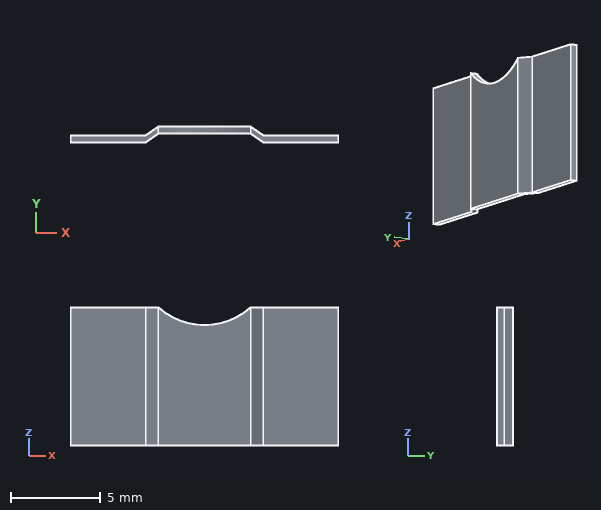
import cadquery as cq

length = 15.0
height = 7.75
depth = 0.9
thickness = 0.4

setback = depth - thickness
tab_bend_x = 3.3
panel_edge_x = 2.58

scallop_depth = 0.99


def make_middle_panel():
    """Flat panel with the scalloped top edge, set back along +Y."""
    return (
        cq.Workplane("XZ", origin=(0, setback, 0))
        .moveTo(-panel_edge_x, 0)
        .lineTo(panel_edge_x, 0)
        .lineTo(panel_edge_x, height)
        .threePointArc((0, height - scallop_depth), (-panel_edge_x, height))
        .close()
        .extrude(-thickness)
    )


def make_end_tab(side):
    """Flat tab and its sloped flange; side is -1 for the -X end, +1 for the +X end."""
    front_edge = [
        (side * length / 2, 0),
        (side * tab_bend_x, 0),
        (side * panel_edge_x, setback),
    ]
    back_edge = [(x, y + thickness) for x, y in reversed(front_edge)]
    return cq.Workplane("XY").polyline(front_edge + back_edge).close().extrude(height)


middle_panel = make_middle_panel()
end_tabs = [make_end_tab(side) for side in (-1, 1)]

result = cq.Compound.makeCompound([middle_panel.val(), *[tab.val() for tab in end_tabs]])